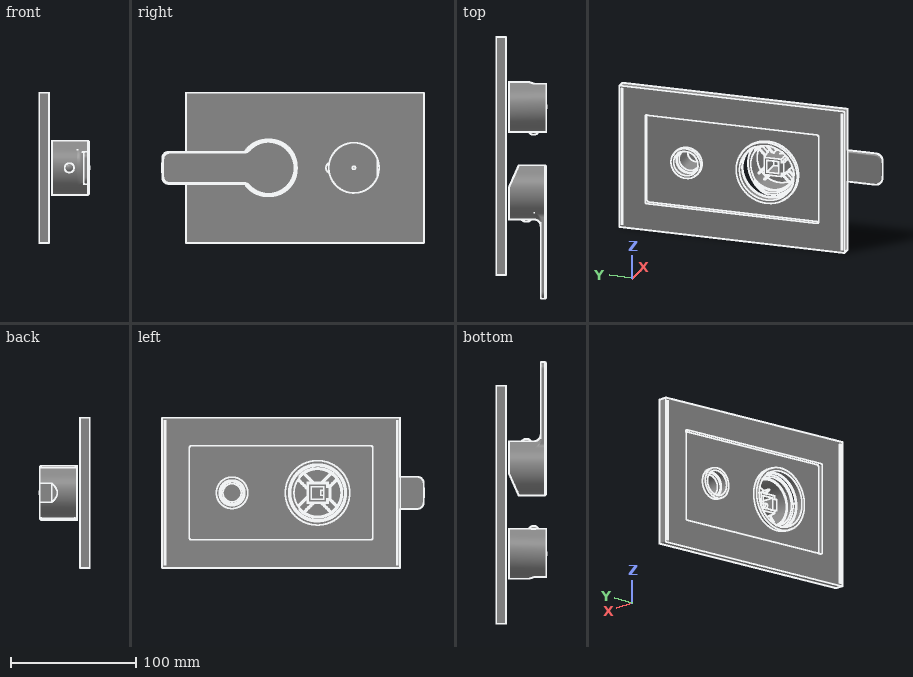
import cadquery as cq
import math

plate_thickness = 8.0
plate_length = 190.0
plate_height = 120.0
plate_edge_radius = 0.6

pocket_length = 146.0
pocket_height = 75.0
pocket_depth = 4.4
pocket_corner_radius = 1.5

collar_height = 3.5
small_hole_radius = 10.2
small_collar_radius = 12.5
large_hole_radius = 23.0
large_collar_radius = 25.7
hole_lip_width = 0.5
hole_lip_thickness = 0.8

slit_width = 1.0
slit_depth = 0.6
slit_edge_margin = 1.9
slit_end_margin = 2.5

knob_rear_x = 10.0
knob_front_x = 40.0
stud_radius = 3.8
stud_embed = 1.0

small_knob_y = 39.0
small_knob_radius = 20.0
small_bore_mouth_radius = 8.8
small_bore_end_radius = 7.3
small_bore_depth = 16.7
small_stud_x = 29.9
small_stud_rise = 2.3
flat_depth = 1.5
flat_start_x = 26.0
flat_full_x = 30.3
nub_radius = 1.3
nub_height = 0.5

handle_y = -29.0
handle_radius = 21.7
front_bevel = 1.0
handle_stud_x = 24.0
handle_stud_rise = 1.9
slant_rear_y = -25.0
slant_front_x = 18.0

cavity_radius = 18.8
cavity_floor_x = 32.4
cavity_mouth_radius = 19.8
cavity_mouth_depth = 4.8

hub_floor_size = 16.7
hub_rear_size = 14.6
pad_overhang = 2.0
pad_height = 11.3
hub_rear_x = 15.9
socket_size = 10.0
rib_pair_spacing = 6.7
rib_thickness = 1.0
rib_height = 6.3
screw_tip_radius = 2.0
screw_tip_y = 2.5

lever_tip_y = plate_length / 2 - 209
lever_thickness = 4.5
lever_width = 26.0
lever_corner_radius = 5.5
lever_tip_bow = 0.6
lever_rear_edge_radius = 1.3
lever_root_radius = 5.0

selection_margin = 0.2


def rod(radius, x_start, x_end, y):
    """Cylinder along X, centred on Z = 0."""
    return cq.Workplane("YZ", origin=(x_start, y, 0)).circle(radius).extrude(x_end - x_start)


def block(x_start, x_end, length, height, y):
    """Box between two X stations, centred on Z = 0."""
    return cq.Workplane("YZ", origin=(x_start, y, 0)).rect(length, height).extrude(x_end - x_start)


def domed_stud(x, y, body_radius, rise):
    """Round stud with a domed end, standing out of a knob's -Y side."""
    dome_radius = (stud_radius**2 + rise**2) / (2 * rise)
    dome_centre_y = y - body_radius - rise + dome_radius
    dome = cq.Workplane("XY").sphere(dome_radius).translate((x, dome_centre_y, 0))
    shank = cq.Workplane("XZ", origin=(x, y - body_radius + stud_embed, 0))
    return shank.circle(stud_radius).extrude(stud_embed + rise).intersect(dome)


def make_plate():
    plate = block(0, plate_thickness, plate_length, plate_height, 0)
    plate = plate.edges("|X or >X").fillet(plate_edge_radius)

    pocket = block(0, pocket_depth, pocket_length, pocket_height, 0)
    plate = plate.cut(pocket.edges("|X").fillet(pocket_corner_radius))

    openings = (
        (small_knob_y, small_collar_radius, small_hole_radius),
        (handle_y, large_collar_radius, large_hole_radius),
    )
    for y, collar_radius, hole_radius in openings:
        plate = plate.union(rod(collar_radius, pocket_depth - collar_height, plate_thickness, y))
        plate = plate.cut(rod(hole_radius, 0, plate_thickness - hole_lip_thickness, y))
        plate = plate.cut(rod(hole_radius - hole_lip_width, 0, plate_thickness, y))

    slit_y = plate_length / 2 - slit_edge_margin - slit_width / 2
    slit_length = plate_height - 2 * slit_end_margin
    for side in (-1, 1):
        plate = plate.cut(block(0, slit_depth, slit_width, slit_length, side * slit_y))
    return plate


def make_small_knob():
    knob = rod(small_knob_radius, knob_rear_x, knob_front_x, small_knob_y)

    outer_y = small_knob_y + small_knob_radius
    flat = (
        cq.Workplane("XY")
        .polyline(
            [
                (flat_start_x, outer_y),
                (flat_full_x, outer_y - flat_depth),
                (knob_front_x, outer_y - flat_depth),
                (knob_front_x, outer_y),
            ]
        )
        .close()
        .extrude(small_knob_radius, both=True)
    )
    knob = knob.cut(flat)

    bore = (
        cq.Workplane("YZ", origin=(knob_rear_x, small_knob_y, 0))
        .circle(small_bore_mouth_radius)
        .workplane(offset=small_bore_depth)
        .circle(small_bore_end_radius)
        .loft()
    )
    knob = knob.cut(bore)

    knob = knob.union(rod(nub_radius, knob_front_x - nub_height, knob_front_x + nub_height, small_knob_y))
    return knob.union(domed_stud(small_stud_x, small_knob_y, small_knob_radius, small_stud_rise))


def make_lever():
    """Flat tongue running in -Y from the handle's axis, flush with its front face."""
    half_width = lever_width / 2
    shoulder_y = lever_tip_y + lever_tip_bow
    lever = (
        cq.Workplane("YZ", origin=(knob_front_x - lever_thickness, 0, 0))
        .moveTo(handle_y, -half_width)
        .lineTo(shoulder_y, -half_width)
        .threePointArc((lever_tip_y, 0), (shoulder_y, half_width))
        .lineTo(handle_y, half_width)
        .close()
        .extrude(lever_thickness)
    )
    return lever.edges("|X").edges("<Y").fillet(lever_corner_radius)


def tapered_block(length, height, y):
    """Block rising from the cavity floor to the hub's rear face; the sizes are those at the floor."""
    rise = cavity_floor_x - hub_rear_x
    draft = math.degrees(math.atan2((hub_floor_size - hub_rear_size) / 2, rise))
    floor = cq.Workplane("YZ", origin=(cavity_floor_x, y, 0)).rect(length, height)
    return floor.extrude(-rise, taper=draft)


def make_hub():
    """Square socket hub with diagonal pairs of ribs reaching the cavity wall."""
    hub = tapered_block(hub_floor_size, hub_floor_size, 0)
    hub = hub.union(tapered_block(hub_floor_size, pad_height, -pad_overhang))

    rib_start_x = cavity_floor_x - rib_height
    for angle in (45, 135):
        for side in (-1, 1):
            rib = block(rib_start_x, cavity_floor_x, 2 * cavity_radius, rib_thickness, 0)
            rib = rib.translate((0, 0, side * rib_pair_spacing / 2))
            hub = hub.union(rib.rotate((0, 0, 0), (1, 0, 0), angle))

    hub = hub.cut(block(hub_rear_x, cavity_floor_x, socket_size, socket_size, 0))

    tip = cq.Workplane("XZ", origin=(handle_stud_x, -screw_tip_y, 0))
    hub = hub.union(tip.circle(screw_tip_radius).extrude(hub_rear_size / 2 - screw_tip_y))
    return hub.translate((0, handle_y, 0))


def make_handle():
    outer = rod(handle_radius, knob_rear_x, knob_front_x, handle_y).union(make_lever())

    lever_rear_x = knob_front_x - lever_thickness
    root_zone = cq.selectors.BoxSelector(
        (lever_rear_x - selection_margin, handle_y - handle_radius, -lever_width),
        (knob_front_x - selection_margin, handle_y - handle_radius / 2, lever_width),
    )
    outer = outer.edges(root_zone).fillet(lever_root_radius)
    outer = outer.faces(">X").edges().chamfer(front_bevel)
    free_zone = cq.selectors.BoxSelector(
        (lever_rear_x - selection_margin, lever_tip_y - selection_margin, -lever_width),
        (lever_rear_x + selection_margin, handle_y - handle_radius - lever_root_radius, lever_width),
    )
    outer = outer.edges(free_zone).fillet(lever_rear_edge_radius)

    cavity = rod(cavity_radius, knob_rear_x, cavity_floor_x, handle_y)
    mouth = rod(cavity_mouth_radius, knob_rear_x, knob_rear_x + cavity_mouth_depth, handle_y)
    outer = outer.cut(cavity).cut(mouth)
    outer = outer.union(make_hub().intersect(cavity))
    outer = outer.union(domed_stud(handle_stud_x, handle_y, handle_radius, handle_stud_rise))

    crown_y = handle_y + handle_radius
    slant = (
        cq.Workplane("XY")
        .polyline([(knob_rear_x, slant_rear_y), (knob_rear_x, crown_y), (slant_front_x, crown_y)])
        .close()
        .extrude(handle_radius, both=True)
    )
    return outer.cut(slant)


plate = make_plate()
small_knob = make_small_knob()
handle = make_handle()

result = cq.Compound.makeCompound([plate.val(), small_knob.val(), handle.val()])